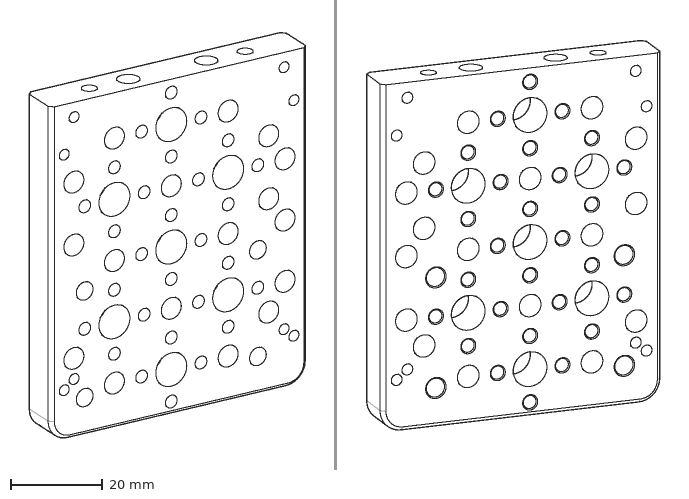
import cadquery as cq
import math

THICKNESS = 10.0
WIDTH = 66.0
HEIGHT = 80.0
CORNER_RADIUS = 5.0
EDGE_CHAMFER = 1.0

LARGE_DIAMETER = 7.94
MEDIUM_DIAMETER = 5.12
SMALL_DIAMETER = 3.0
SMALL_MOUTH_DIAMETER = 3.53
MOUNT_DIAMETER = 4.3
MOUNT_MOUTH_DIAMETER = 4.83
COUNTERSINK_HALF_ANGLE = 45.0
CORNER_HOLE_DIAMETER = 2.53
TOP_PIN_DIAMETER = 3.53

PATTERN_Y = -2.0
PITCH = 14.59
SMALL_OFFSET = 7.62

MOUNT_SPACING_Y = 44.45
MOUNT_SPACING_Z = 25.4
MOUNT_UPPER_Z = -5.56

SIDE_OFFSET_Y = 25.0
SIDE_LEVELS_Z = (21.0, 6.0, -21.0)

INNER_CORNER_Y = 26.94
INNER_CORNER_LEVELS_Z = (36.45, -25.95)
OUTER_CORNER_Y = 29.47
OUTER_CORNER_Z = 28.06

TOP_THREAD_Y = 10.0
TOP_PIN_Y = 20.0
TOP_HOLE_DEPTH = 8.0

LARGE_CELLS = [(0, 2), (-1, 1), (1, 1), (0, 0), (-1, -1), (1, -1), (0, -2)]
MEDIUM_CELLS = [
    (-1, 2), (1, 2),
    (0, 1), (2, 1),
    (-1, 0), (1, 0), (2, 0),
    (0, -1), (2, -1),
    (-1, -2), (1, -2),
]


def make_plate():
    """Plate with rounded bottom corners; both faces chamfered except along the top edge."""
    plate = cq.Workplane("XY").box(THICKNESS, WIDTH, HEIGHT)
    plate = plate.edges("|X and <Z").fillet(CORNER_RADIUS)
    face_edges = plate.faces("<X or >X").edges("not >Z")
    return face_edges.chamfer(EDGE_CHAMFER)


def cell_centres(cells):
    """(Y, Z) centres of cells in the main pattern."""
    return [(PATTERN_Y + column * PITCH, row * PITCH) for column, row in cells]


def pairs(centre_y, offset_y, levels_z):
    """(Y, Z) centres on both sides of centre_y at each level."""
    return [(centre_y + side * offset_y, z) for z in levels_z for side in (-1, 1)]


def through_holes(centres, diameter):
    """Cutters running through the full thickness."""
    plane = cq.Workplane("YZ").workplane(offset=-THICKNESS / 2)
    return plane.pushPoints(centres).circle(diameter / 2).extrude(THICKNESS)


def countersinks(centres, diameter, mouth_diameter):
    """Conical cutters sunk into the -X face, narrowing from the mouth to the hole diameter."""
    depth = (mouth_diameter - diameter) / 2 / math.tan(math.radians(COUNTERSINK_HALF_ANGLE))
    plane = cq.Workplane("YZ").workplane(offset=-THICKNESS / 2)
    mouths = plane.pushPoints(centres).circle(mouth_diameter / 2)
    return mouths.extrude(depth, taper=COUNTERSINK_HALF_ANGLE)


def top_holes(offset_y, diameter):
    """A pair of blind cutters going down from the top edge."""
    plane = cq.Workplane("XY").workplane(offset=HEIGHT / 2)
    centres = [(0, -offset_y), (0, offset_y)]
    return plane.pushPoints(centres).circle(diameter / 2).extrude(-TOP_HOLE_DEPTH)


large_centres = cell_centres(LARGE_CELLS)

small_centres = []
for large_y, large_z in large_centres:
    for step in (-SMALL_OFFSET, SMALL_OFFSET):
        small_centres.append((large_y + step, large_z))
        small_centres.append((large_y, large_z + step))

medium_centres = cell_centres(MEDIUM_CELLS) + pairs(PATTERN_Y, SIDE_OFFSET_Y, SIDE_LEVELS_Z)

mount_levels = (MOUNT_UPPER_Z, MOUNT_UPPER_Z - MOUNT_SPACING_Z)
mount_centres = pairs(PATTERN_Y, MOUNT_SPACING_Y / 2, mount_levels)

corner_centres = pairs(0, INNER_CORNER_Y, INNER_CORNER_LEVELS_Z)
corner_centres += pairs(0, OUTER_CORNER_Y, (OUTER_CORNER_Z, -OUTER_CORNER_Z))

result = make_plate()
result = result.cut(through_holes(large_centres, LARGE_DIAMETER))
result = result.cut(through_holes(medium_centres, MEDIUM_DIAMETER))
result = result.cut(through_holes(corner_centres, CORNER_HOLE_DIAMETER))
result = result.cut(through_holes(small_centres, SMALL_DIAMETER))
result = result.cut(countersinks(small_centres, SMALL_DIAMETER, SMALL_MOUTH_DIAMETER))
result = result.cut(through_holes(mount_centres, MOUNT_DIAMETER))
result = result.cut(countersinks(mount_centres, MOUNT_DIAMETER, MOUNT_MOUTH_DIAMETER))
result = result.cut(top_holes(TOP_THREAD_Y, MEDIUM_DIAMETER))
result = result.cut(top_holes(TOP_PIN_Y, TOP_PIN_DIAMETER))